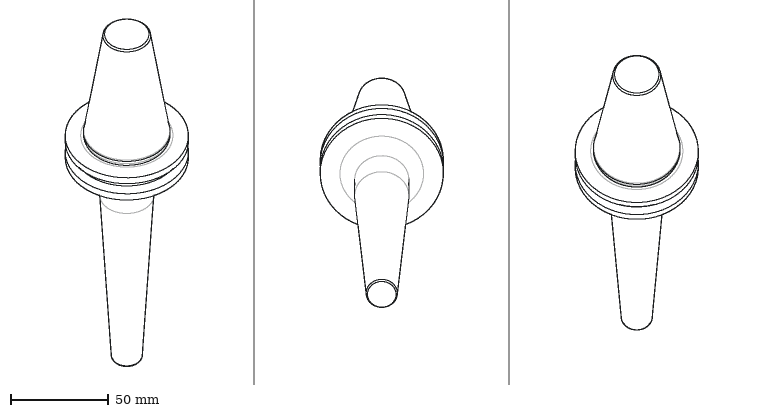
import cadquery as cq
import math

total_length = 228.5
gauge_height = 160.0
gauge_radius = 22.2
shank_taper = 7 / 24
shank_chamfer = 1.0

collar_radius = 22.4
collar_chamfer_height = 0.7
undercut_rim_radius = 23.8
undercut_rim_height = 157.8
undercut_depth = 0.5

flange_radius = 31.7
flange_top = 156.7
flange_bottom = 141.0
groove_height = 149.0
groove_floor_radius = 28.0
groove_floor_width = 3.0
groove_wall_angle = 30.0

neck_fillet = 7.5
neck_bottom = 114.7
nose_radius = 8.0
nose_angle = 3.0
nose_chamfer_width = 0.7
nose_chamfer_height = 1.1

diagonal = math.sqrt(0.5)
nose_slope = math.tan(math.radians(nose_angle))
neck_radius = nose_radius + neck_bottom * nose_slope
nose_edge_radius = nose_radius + nose_chamfer_height * nose_slope
shank_edge_height = total_length - shank_chamfer
shank_edge_radius = gauge_radius - (shank_edge_height - gauge_height) * shank_taper / 2
half_floor = groove_floor_width / 2
groove_depth = flange_radius - groove_floor_radius
half_mouth = half_floor + groove_depth * math.tan(math.radians(groove_wall_angle))
neck_fillet_outer = neck_radius + neck_fillet
neck_fillet_bottom = flange_bottom - neck_fillet

profile = (
    cq.Workplane("XZ")
    .moveTo(0, 0)
    .lineTo(nose_edge_radius - nose_chamfer_width, 0)
    .lineTo(nose_edge_radius, nose_chamfer_height)
    .lineTo(neck_radius, neck_bottom)
    .lineTo(neck_radius, neck_fillet_bottom)
    .threePointArc(
        (
            neck_fillet_outer - neck_fillet * diagonal,
            neck_fillet_bottom + neck_fillet * diagonal,
        ),
        (neck_fillet_outer, flange_bottom),
    )
    .lineTo(flange_radius, flange_bottom)
    .lineTo(flange_radius, groove_height - half_mouth)
    .lineTo(groove_floor_radius, groove_height - half_floor)
    .lineTo(groove_floor_radius, groove_height + half_floor)
    .lineTo(flange_radius, groove_height + half_mouth)
    .lineTo(flange_radius, flange_top)
    .lineTo(undercut_rim_radius, flange_top)
    .lineTo(collar_radius - undercut_depth, flange_top - undercut_depth)
    .lineTo(collar_radius, undercut_rim_height)
    .lineTo(collar_radius, gauge_height - collar_chamfer_height)
    .lineTo(gauge_radius, gauge_height)
    .lineTo(shank_edge_radius, shank_edge_height)
    .lineTo(shank_edge_radius - shank_chamfer, total_length)
    .lineTo(0, total_length)
    .close()
)

result = profile.revolve(360, (0, 0, 0), (0, 1, 0))